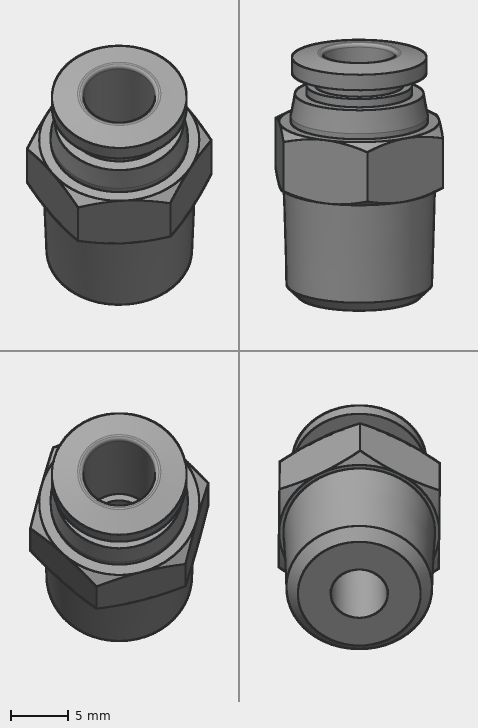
import cadquery as cq
import math

total_height = 21.9
across_flats = 14.0

thread_tip_radius = 5.37
thread_low_radius = 6.37
thread_top_radius = 6.64
thread_chamfer_height = 1.0

hex_bottom = 9.99
hex_top = 15.7
hex_chamfer_angle = 30.0

collar_radius = 6.0
collar_cone_bottom = 16.2
collar_top_radius = 5.63
collar_top = 18.22
step_radius = 4.62
step_top = 18.97

neck_radius = 3.85
flange_bottom = 20.1
flange_radius = 5.9
flange_edge_top = 21.5
rim_radius = 3.64

tube_radius = 3.13
tube_depth = 10.95
passage_radius = 2.5
mouth_round = 0.33


def make_turned_body():
    """Revolve the outer profile of every round section about Z."""
    profile = [
        (0, 0),
        (thread_tip_radius, 0),
        (thread_low_radius, thread_chamfer_height),
        (thread_top_radius, hex_bottom),
        (thread_top_radius, hex_top),
        (collar_radius, hex_top),
        (collar_radius, collar_cone_bottom),
        (collar_top_radius, collar_top),
        (step_radius, collar_top),
        (step_radius, step_top),
        (neck_radius, step_top),
        (neck_radius, flange_bottom),
        (flange_radius, flange_bottom),
        (flange_radius, flange_edge_top),
        (rim_radius, total_height),
        (0, total_height),
    ]
    return cq.Workplane("XZ").polyline(profile).close().revolve(360, (0, 0), (0, 1))


def make_hexagon():
    """Hexagon with corners on X, its corners cut by cones at both ends."""
    corner_radius = across_flats / 2 / math.cos(math.pi / 6)
    face_radius = across_flats / 2
    corner_drop = (corner_radius - face_radius) * math.tan(math.radians(hex_chamfer_angle))
    prism = (
        cq.Workplane("XY")
        .workplane(offset=hex_bottom)
        .polygon(6, 2 * corner_radius)
        .extrude(hex_top - hex_bottom)
    )
    envelope = (
        cq.Workplane("XZ")
        .polyline([
            (0, hex_bottom),
            (face_radius, hex_bottom),
            (corner_radius, hex_bottom + corner_drop),
            (corner_radius, hex_top - corner_drop),
            (face_radius, hex_top),
            (0, hex_top),
        ])
        .close()
        .revolve(360, (0, 0), (0, 1))
    )
    return prism.intersect(envelope)


def make_bore():
    """Stepped bore: passage from below, tube socket with a rounded mouth above."""
    socket_floor = total_height - tube_depth
    mouth_radius = tube_radius + mouth_round
    round_offset = mouth_round * math.sqrt(0.5)
    round_bottom = total_height - mouth_round
    return (
        cq.Workplane("XZ")
        .moveTo(0, 0)
        .lineTo(passage_radius, 0)
        .lineTo(passage_radius, socket_floor)
        .lineTo(tube_radius, socket_floor)
        .lineTo(tube_radius, round_bottom)
        .threePointArc(
            (mouth_radius - round_offset, round_bottom + round_offset),
            (mouth_radius, total_height),
        )
        .lineTo(0, total_height)
        .close()
        .revolve(360, (0, 0), (0, 1))
    )


result = make_turned_body().union(make_hexagon()).cut(make_bore())